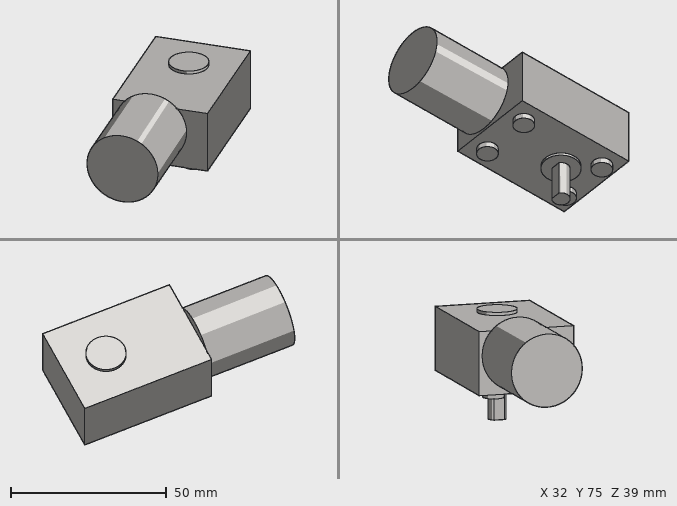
import cadquery as cq

overall_length = 75.0
overall_height = 39.0
body_width = 32.0
body_length = 45.0
body_height = 21.0

motor_diameter = 24.0
motor_length = overall_length - body_length
motor_edge_gap = 1.0

shaft_x = body_width / 2
shaft_back_inset = 15.0
shaft_y = body_length - shaft_back_inset
boss_diameter = 13.0
top_boss_height = 1.05
bottom_boss_height = 1.0
shaft_diameter = 5.85
shaft_flat_offset = 2.3

foot_diameter = 7.0
foot_height = 2.0
foot_spacing_x = 18.0
foot_spacing_y = 33.0
foot_back_inset = 5.4


def cylinder_up(x, y, z, diameter, height):
    """Vertical cylinder starting at z; a negative height runs downward."""
    return cq.Workplane("XY", origin=(x, y, z)).circle(diameter / 2).extrude(height)


body = cq.Workplane("XY").box(body_width, body_length, body_height, centered=False)

motor_centre = motor_edge_gap + motor_diameter / 2
motor = (
    cq.Workplane("XZ", origin=(motor_centre, 0, motor_centre))
    .circle(motor_diameter / 2)
    .extrude(motor_length)
)

top_boss = cylinder_up(shaft_x, shaft_y, body_height, boss_diameter, top_boss_height)
bottom_boss = cylinder_up(shaft_x, shaft_y, 0, boss_diameter, -bottom_boss_height)

motor_top = motor_edge_gap + motor_diameter
shaft_length = overall_height - motor_top
shaft_blank = cylinder_up(shaft_x, shaft_y, 0, shaft_diameter, -shaft_length)
flat_cutter = (
    cq.Workplane("XY", origin=(shaft_x, shaft_y - shaft_flat_offset - shaft_diameter / 2, 0))
    .rect(shaft_diameter, shaft_diameter)
    .extrude(-shaft_length)
)
shaft = shaft_blank.cut(flat_cutter)

feet_centre_y = body_length - foot_back_inset - foot_spacing_y / 2
feet = (
    cq.Workplane("XY", origin=(body_width / 2, feet_centre_y, 0))
    .rect(foot_spacing_x, foot_spacing_y, forConstruction=True)
    .vertices()
    .circle(foot_diameter / 2)
    .extrude(-foot_height)
)

result = body.union(motor).union(top_boss).union(bottom_boss).union(shaft).union(feet)